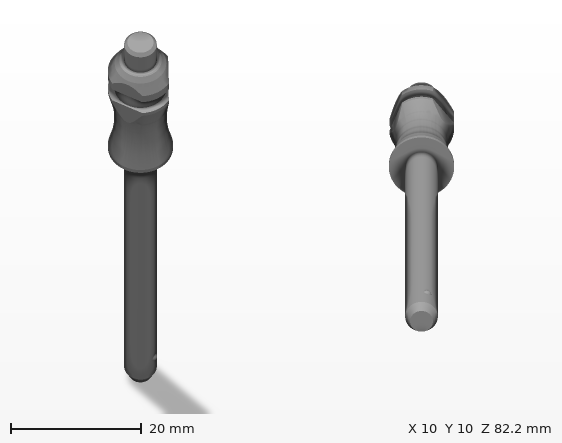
import cadquery as cq

total_length = 82.2
grip_length = 26.0
shank_length = total_length - grip_length

shank_radius = 2.5
tip_radius = 1.75
tip_length = 1.7

ball_radius = 0.75
ball_height = 5.5
ball_protrusion = 0.3

grip_radius = 5.0
waist_radius = 4.0
rim_height = 0.7
body_length = 14.85
body_top = shank_length + body_length
waist_start = shank_length + rim_height
waist_end = body_top - rim_height
waist_middle = (waist_start + waist_end) / 2

neck_radius = 4.0
neck_length = 2.7
button_length = 4.3
cap_bottom = body_top + neck_length
cap_top = total_length - button_length
cap_rim_height = 1.5
cap_rim_top = cap_bottom + cap_rim_height

cap_shoulder_radius = 3.95
cap_shoulder_height = 1.8
cap_shoulder = cap_rim_top + cap_shoulder_height
cap_edge_radius = 3.25
cap_edge_drop = 0.1
cap_top_radius = 3.0

button_radius = 2.5
button_chamfer = 0.5

flat_count = 3
flat_spacing_angle = 360 / flat_count
flat_distance = 4.27
first_flat_angle = -90.0


def make_pin():
    """Revolve the pin outline, drawn as (radius, height), about the Z axis."""
    outline = (
        cq.Workplane("XZ")
        .moveTo(0, 0)
        .lineTo(tip_radius, 0)
        .lineTo(shank_radius, tip_length)
        .lineTo(shank_radius, shank_length)
        .lineTo(grip_radius, shank_length)
        .lineTo(grip_radius, waist_start)
        .threePointArc((waist_radius, waist_middle), (grip_radius, waist_end))
        .lineTo(grip_radius, body_top)
        .lineTo(neck_radius, body_top)
        .lineTo(neck_radius, cap_bottom)
        .lineTo(grip_radius, cap_bottom)
        .lineTo(grip_radius, cap_rim_top)
        .lineTo(cap_shoulder_radius, cap_shoulder)
        .lineTo(cap_edge_radius, cap_top - cap_edge_drop)
        .lineTo(cap_top_radius, cap_top)
        .lineTo(button_radius, cap_top)
        .lineTo(button_radius, total_length - button_chamfer)
        .lineTo(button_radius - button_chamfer, total_length)
        .lineTo(0, total_length)
        .close()
    )
    return outline.revolve(360, (0, 0, 0), (0, 1, 0))


def make_flat_cutter(angle):
    """Block that trims everything beyond the flat facing the given angle."""
    cutter_height = cap_top - waist_middle
    return (
        cq.Workplane("XY", origin=(0, 0, waist_middle))
        .center(flat_distance + grip_radius / 2, 0)
        .rect(grip_radius, 2 * grip_radius)
        .extrude(cutter_height)
        .rotate((0, 0, 0), (0, 0, 1), angle)
    )


def make_ball(side):
    """Locking ball on the +X (side = 1) or -X (side = -1) face of the shank."""
    offset = shank_radius + ball_protrusion - ball_radius
    return cq.Workplane("XY").sphere(ball_radius).translate((side * offset, 0, ball_height))


result = make_pin()
for index in range(flat_count):
    result = result.cut(make_flat_cutter(first_flat_angle + index * flat_spacing_angle))
for side in (-1, 1):
    result = result.union(make_ball(side))